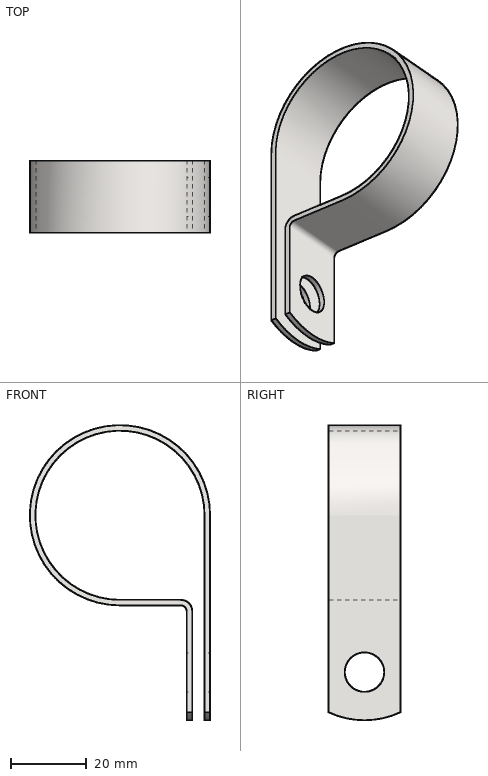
import cadquery as cq
import math

bore_diameter = 44.45
thickness = 1.524
strap_width = 19.05
leg_gap = 3.175
leg_length = 53.975
bend_inner_radius = 1.524
hole_diameter = 10.3124
hole_edge_distance = 12.7
tip_radius = 22.225

inner_radius = bore_diameter / 2
outer_radius = inner_radius + thickness
short_leg_right = inner_radius - leg_gap
short_leg_left = short_leg_right - thickness
bend_outer_radius = bend_inner_radius + thickness
bend_center_x = short_leg_right - bend_outer_radius
bend_center_z = -inner_radius - bend_outer_radius
leg_bottom = -leg_length
hole_z = leg_bottom + hole_edge_distance
diagonal = math.sqrt(0.5)


def bend_midpoint(radius):
    """Middle point of the quarter bend at the given radius."""
    return (bend_center_x + radius * diagonal, bend_center_z + radius * diagonal)


def loop_midpoint(radius):
    """Middle point of the three-quarter loop at the given radius."""
    return (-radius * diagonal, radius * diagonal)


def make_strap():
    """Constant-thickness strap: long leg, loop, shelf, bend and short leg."""
    return (
        cq.Workplane("XZ")
        .moveTo(outer_radius, leg_bottom)
        .lineTo(outer_radius, 0)
        .threePointArc(loop_midpoint(outer_radius), (0, -outer_radius))
        .lineTo(bend_center_x, -outer_radius)
        .threePointArc(bend_midpoint(bend_inner_radius), (short_leg_left, bend_center_z))
        .lineTo(short_leg_left, leg_bottom)
        .lineTo(short_leg_right, leg_bottom)
        .lineTo(short_leg_right, bend_center_z)
        .threePointArc(bend_midpoint(bend_outer_radius), (bend_center_x, -inner_radius))
        .lineTo(0, -inner_radius)
        .threePointArc(loop_midpoint(inner_radius), (inner_radius, 0))
        .lineTo(inner_radius, leg_bottom)
        .close()
        .extrude(strap_width / 2, both=True)
    )


def make_side_envelope():
    """Side outline of the strap, with the arc that rounds the leg ends."""
    half_width = strap_width / 2
    tip_rise = tip_radius - math.sqrt(tip_radius**2 - half_width**2)
    corner_z = leg_bottom + tip_rise
    return (
        cq.Workplane("YZ")
        .moveTo(-half_width, outer_radius)
        .lineTo(-half_width, corner_z)
        .threePointArc((0, leg_bottom), (half_width, corner_z))
        .lineTo(half_width, outer_radius)
        .close()
        .extrude(outer_radius, both=True)
    )


def make_bolt_hole():
    """Cutter for the bolt hole through both legs."""
    return (
        cq.Workplane("YZ")
        .center(0, hole_z)
        .circle(hole_diameter / 2)
        .extrude(outer_radius)
    )


result = make_strap().intersect(make_side_envelope()).cut(make_bolt_hole())